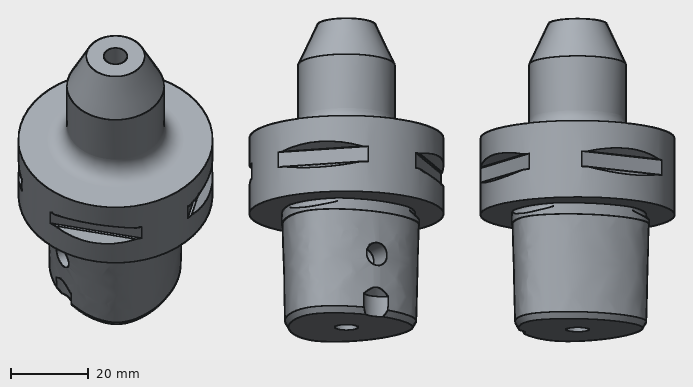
import cadquery as cq
import math

FLANGE_RADIUS = 25.0
FLANGE_HEIGHT = 20.0

NOSE_RADIUS = 12.5
NOSE_FILLET = 5.0
TIP_RADIUS = 7.5
TIP_ANGLE = 25.0
TOP_Z = 50.0
BORE_RADIUS = 3.0

LOBE_COUNT = 3
LOBE_ANGLE = 90.0
POLYGON_SPLINE_POINTS = 48
NECK_MEAN_RADIUS = 17.7
NECK_STEP = 0.15
LOBE_ECCENTRICITY = 1.08
NECK_LENGTH = 2.9
SHANK_LENGTH = 30.0
TAPER_PER_SIDE = 1 / 40
END_CHAMFER_HEIGHT = 1.65
END_CHAMFER_ANGLE = 30.0

RELIEF_RADIUS = 17.75
RELIEF_STRAIGHT = 0.5
RELIEF_BLEND = 1.0
RELIEF_RUNOUT_ANGLE = 45.0
RELIEF_OUTER_RADIUS = 20.0

SLOT_COUNT = 4
SLOT_START_ANGLE = 45.0
SLOT_Z = FLANGE_HEIGHT / 2
SLOT_WIDTH = 4.0
SLOT_FLOOR_DISTANCE = 21.9
SLOT_BEVEL_START = 22.6
SLOT_BEVEL_ANGLE = 30.0

SIDE_HOLE_RADIUS = 3.0
SIDE_HOLE_Z = -14.0
SIDE_HOLE_BOTTOM_Y = -9.0
SIDE_HOLE_POINT_HALF_ANGLE = 59.0

KEYWAY_RADIUS = 4.7
KEYWAY_AXIS_Y = -18.7
KEYWAY_SHOULDER_Z = -24.7
KEYWAY_POINT_HALF_ANGLE = 45.0


def tangent(angle):
    return math.tan(math.radians(angle))


def revolved_body():
    """Flange, nose fillet, nose and conical tip as one turned solid."""
    cone_base_z = TOP_Z - (NOSE_RADIUS - TIP_RADIUS) / tangent(TIP_ANGLE)
    fillet_mid = NOSE_FILLET * (1 - math.sqrt(0.5))
    return (
        cq.Workplane("XZ")
        .lineTo(FLANGE_RADIUS, 0)
        .lineTo(FLANGE_RADIUS, FLANGE_HEIGHT)
        .lineTo(NOSE_RADIUS + NOSE_FILLET, FLANGE_HEIGHT)
        .threePointArc(
            (NOSE_RADIUS + fillet_mid, FLANGE_HEIGHT + fillet_mid),
            (NOSE_RADIUS, FLANGE_HEIGHT + NOSE_FILLET),
        )
        .lineTo(NOSE_RADIUS, cone_base_z)
        .lineTo(TIP_RADIUS, TOP_Z)
        .lineTo(0, TOP_Z)
        .close()
        .revolve(360, (0, 0, 0), (0, 1, 0))
    )


def polygon_wire(mean_radius, z):
    """Closed three-lobed curve whose support function is R + e*cos(3a)."""
    lobe_direction = math.radians(LOBE_ANGLE)

    def point(turn):
        normal = 2 * math.pi * turn
        phase = LOBE_COUNT * (normal - lobe_direction)
        support = mean_radius + LOBE_ECCENTRICITY * math.cos(phase)
        slope = -LOBE_COUNT * LOBE_ECCENTRICITY * math.sin(phase)
        x = support * math.cos(normal) - slope * math.sin(normal)
        y = support * math.sin(normal) + slope * math.cos(normal)
        return (x, y, z)

    points = [
        cq.Vector(*point(index / POLYGON_SPLINE_POINTS))
        for index in range(POLYGON_SPLINE_POINTS)
    ]
    edge = cq.Edge.makeSpline(points, periodic=True)
    return cq.Wire.assembleEdges([edge])


def shank():
    """Straight neck, tapered length and end chamfer."""
    chamfer_z = END_CHAMFER_HEIGHT - SHANK_LENGTH
    taper_radius = NECK_MEAN_RADIUS - NECK_STEP
    chamfer_radius = taper_radius - TAPER_PER_SIDE * (-NECK_LENGTH - chamfer_z)
    end_radius = chamfer_radius - END_CHAMFER_HEIGHT * tangent(END_CHAMFER_ANGLE)
    neck_sections = [
        polygon_wire(NECK_MEAN_RADIUS, 0),
        polygon_wire(NECK_MEAN_RADIUS, -NECK_LENGTH),
    ]
    taper_sections = [
        polygon_wire(taper_radius, -NECK_LENGTH),
        polygon_wire(chamfer_radius, chamfer_z),
        polygon_wire(end_radius, -SHANK_LENGTH),
    ]
    neck = cq.Workplane(cq.Solid.makeLoft(neck_sections, True))
    taper = cq.Workplane(cq.Solid.makeLoft(taper_sections, True))
    return neck.union(taper)


def relief_cutter():
    """Ring below the flange: straight wall, blend arc, then a sloping run-out."""
    runout_angle = math.radians(RELIEF_RUNOUT_ANGLE)
    half_step = runout_angle / 2
    runout_radius = RELIEF_RADIUS + RELIEF_BLEND * (1 - math.cos(runout_angle))
    runout_z = -RELIEF_STRAIGHT - RELIEF_BLEND * math.sin(runout_angle)
    outer_z = runout_z - (RELIEF_OUTER_RADIUS - runout_radius) / math.tan(runout_angle)
    return (
        cq.Workplane("XZ")
        .moveTo(RELIEF_RADIUS, 0)
        .lineTo(RELIEF_RADIUS, -RELIEF_STRAIGHT)
        .threePointArc(
            (
                RELIEF_RADIUS + RELIEF_BLEND * (1 - math.cos(half_step)),
                -RELIEF_STRAIGHT - RELIEF_BLEND * math.sin(half_step),
            ),
            (runout_radius, runout_z),
        )
        .lineTo(RELIEF_OUTER_RADIUS, outer_z)
        .lineTo(RELIEF_OUTER_RADIUS, 0)
        .close()
        .revolve(360, (0, 0, 0), (0, 1, 0))
    )


def gripper_slot(angle):
    """Straight flat-floored slot with bevelled upper and lower sides."""
    half_width = SLOT_WIDTH / 2
    outer_half_width = half_width + (FLANGE_RADIUS - SLOT_BEVEL_START) * tangent(SLOT_BEVEL_ANGLE)
    return (
        cq.Workplane("XZ")
        .moveTo(SLOT_FLOOR_DISTANCE, SLOT_Z - half_width)
        .lineTo(SLOT_BEVEL_START, SLOT_Z - half_width)
        .lineTo(FLANGE_RADIUS, SLOT_Z - outer_half_width)
        .lineTo(FLANGE_RADIUS, SLOT_Z + outer_half_width)
        .lineTo(SLOT_BEVEL_START, SLOT_Z + half_width)
        .lineTo(SLOT_FLOOR_DISTANCE, SLOT_Z + half_width)
        .close()
        .extrude(FLANGE_RADIUS, both=True)
        .rotate((0, 0, 0), (0, 0, 1), angle)
    )


def drill(radius, shoulder, direction, length, point_half_angle):
    """Drill shape: cylinder ending at the shoulder point, with a conical point beyond it."""
    axis = cq.Vector(*direction)
    shoulder_point = cq.Vector(*shoulder)
    body = cq.Solid.makeCylinder(radius, length, shoulder_point - axis * length, axis)
    point_length = radius / tangent(point_half_angle)
    point = cq.Solid.makeCone(radius, 0, point_length, shoulder_point, axis)
    return cq.Workplane(body).union(cq.Workplane(point))


def side_hole():
    return drill(
        SIDE_HOLE_RADIUS,
        (0, SIDE_HOLE_BOTTOM_Y, SIDE_HOLE_Z),
        (0, 1, 0),
        FLANGE_RADIUS + SIDE_HOLE_BOTTOM_Y,
        SIDE_HOLE_POINT_HALF_ANGLE,
    )


def keyway():
    return drill(
        KEYWAY_RADIUS,
        (0, KEYWAY_AXIS_Y, KEYWAY_SHOULDER_Z),
        (0, 0, 1),
        SHANK_LENGTH + KEYWAY_SHOULDER_Z,
        KEYWAY_POINT_HALF_ANGLE,
    )


def through_bore():
    return (
        cq.Workplane("XY", origin=(0, 0, -SHANK_LENGTH))
        .circle(BORE_RADIUS)
        .extrude(TOP_Z + SHANK_LENGTH)
    )


result = revolved_body().union(shank().cut(relief_cutter()))
for slot_index in range(SLOT_COUNT):
    slot_angle = SLOT_START_ANGLE + slot_index * 360 / SLOT_COUNT
    result = result.cut(gripper_slot(slot_angle))
result = result.cut(side_hole()).cut(keyway()).cut(through_bore())